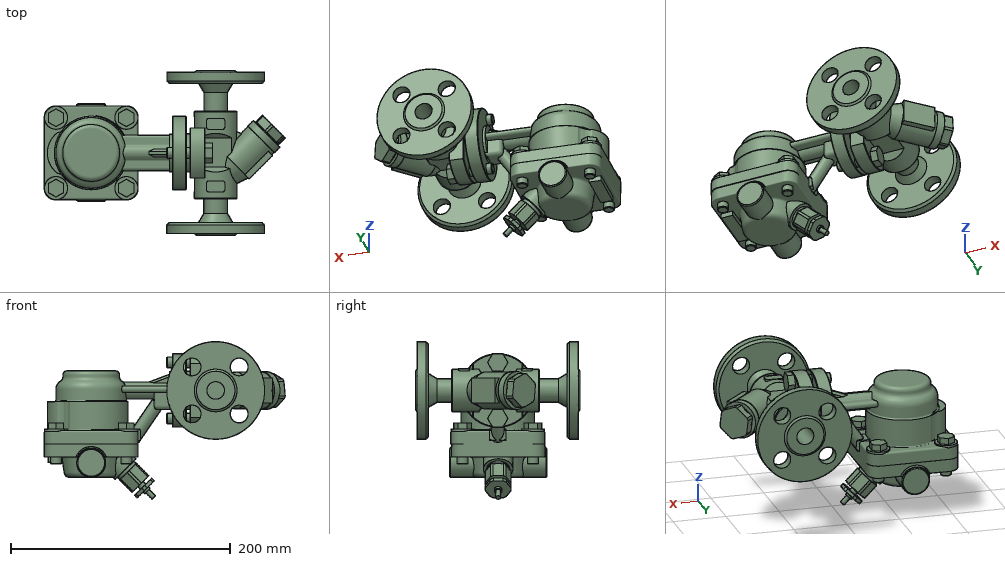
import cadquery as cq
import math

OVERLAP = 1.0

FACE_TO_FACE = 150.0
FLANGE_R = 44.5
FLANGE_THICK = 10.3
FLANGE_CHAMFER = 2.3
RAISED_FACE_BASE_R = 19.4
RAISED_FACE_R = 17.5
RAISED_FACE_HEIGHT = 1.6
FLANGE_BOLT_CIRCLE_R = 30.2
FLANGE_BOLT_HOLE_R = 8.0
PIPE_R = 21.7 / 2
PIPE_BORE_R = 8.0
NECK_R = 15.6
NECK_LENGTH = 8.0

BODY_R = 19.5
BODY_MIN_Y = -42.0
BODY_MAX_Y = 38.0
BODY_CHAMFER = 0.8
WAIST_MIN_Y = -17.3
WAIST_MAX_Y = 17.7
WAIST_WALL_RUN = 4.3
WAIST_HALF_HEIGHT = 13.0
PAD_LENGTH = 16.6
PAD_WIDTH = 10.0
PAD_CORNER_R = 2.0
PAD_TOP_Z = BODY_R + 0.3
PAD_CENTRES_Y = (-30.5, 26.4)

BRANCH_BASE = (14.5, -14.5)
BRANCH_ROOT = -6.0
BRANCH_ROOT_R = 13.0
BRANCH_FULL = 5.0
BRANCH_R = 16.8
COLLAR_START = 38.0
COLLAR_R = 17.2
COLLAR_END = 45.0
CAP_START = 46.0
CAP_END = 54.35
CAP_SPIGOT_R = 13.0
CAP_ACROSS_FLATS = 28.0
CAP_TURNED_R = 15.5
CAP_TURN = 7.0
SIDE_PAD_START = 4.7
SIDE_PAD_END = 35.0
SIDE_PAD_OFFSET = 17.8
SIDE_PAD_HALF_HEIGHT = 11.5
BRANCH_RIB_THICK = 10.0
BRANCH_RIB_CREST = ((18.5, 19.5), (23.0, 18.0))
BRANCH_RIB_END = (30.0, 5.0)

RING_R = 33.5
RING_MIN_X = -39.4
RING_MAX_X = -26.7
RING_CHAMFER = 0.6
GASKET_R = 17.5
OVAL_MIN_X = -23.3
OVAL_MAX_X = -9.5
OVAL_HALF_WIDTH = 22.8
CONNECTION_BOLT_Z = 25.5
CONNECTION_BOLT_R = 5.0
CONNECTION_BOLT_MIN_X = -44.7
CONNECTION_HEAD_MAX_X = -3.0
CONNECTION_HEAD_FLATS = 16.0
BOLT_END_CHAMFER = 0.7

ARM_TUBE_R = 7.8
ARM_BAR_HALF_WIDTH = 16.3
ARM_BAR_MIN_Z = -2.0
ARM_BAR_MAX_Z = 3.9
ARM_BAR_EDGE_R = 2.8
ARM_CORNER_R = 1.5
ARM_BOSS_R = 17.2
ARM_BOSS_MIN_X = -42.0
OUTLET_BLOCK_MIN_X = -56.0
OUTLET_BLOCK_MIN_Z = -17.5
OUTLET_BLOCK_HALF_WIDTH = 10.0
OUTLET_BLOCK_EDGE_R = 3.6
RIB_START_X = -60.6
RIB_TOP_Z = 14.8
RIB_WIDTH = 7.0
RIB_CHAMFER = 2.2
RETURN_TUBE_R = 6.0
RETURN_TUBE_LOW = (-74.7, -43.8)
RETURN_TUBE_HIGH = (-52.7, -11.6)
FOOT_MAX_X = -68.3
FOOT_HALF_WIDTH = 7.5
FOOT_DEPTH = 10.5
FOOT_EDGE_R = 1.5

TRAP_X = -113.2
PLATE_SIZE = 85.5
LOWER_PLATE_WIDTH = 84.8
PLATE_CORNER_R = 10.5
PLATE_TOP_Z = -36.4
PLATE_JOINT_Z = -48.6
PLATE_BOTTOM_Z = -60.6
PLATE_EDGE_R = 2.0
PLATE_LOWER_EDGE_R = 0.8
BOLT_SPACING = 64.0
BOLT_PAD_TOP_Z = -35.2
BOLT_HEAD_TOP_Z = -29.4
BOLT_HEAD_FLATS = 14.0
BOLT_R = 5.0
BOLT_BOTTOM_Z = -67.0
SHELL_R = 33.5
SHELL_TOP_Z = -10.2
LOBE_OFFSET = -16.7
LOBE_R = 23.2
BOLT_CLEARANCE_R = 13.4
SHELL_CORNER_R = 1.5
SHELL_FOOT_R = 0.7
DOME_R = 32.2
DOME_FLARE = SHELL_R - DOME_R
DOME_SHOULDER_Z = 1.0
DOME_NECK_R = 27.5
DOME_NECK_Z = 8.8
DOME_HOLLOW_R = 5.0
CROWN_R = 25.9
CROWN_BASE_Z = 12.8
CROWN_TOP_Z = 17.95
CROWN_EDGE_R = 4.0

COVER_Y = 0.4
COVER_FOOT_R = 1.9
COVER_TOP_R = 26.5
COVER_BOTTOM_R = 24.0
COVER_BOTTOM_Z = -79.1
COVER_EDGE_R = 5.0
END_PIPE_R = 13.2
END_PIPE_Z = -65.8
END_PIPE_LENGTH = 89.0
END_PIPE_CHAMFER = 1.0
END_PIPE_ROOT_R = 14.8
END_PIPE_ROOT_LENGTH = 1.2
NAME_PAD_MIN_X = -152.4
NAME_PAD_MAX_X = -141.0
NAME_PAD_HALF_WIDTH = 19.8
NAME_PAD_BOTTOM_Z = -65.5
DRAIN_HEX_BASE = (-79.7, COVER_Y, -73.8)
DRAIN_DIRECTION = (1, 0, -1)
DRAIN_COLLAR_R = 13.4
DRAIN_COLLAR_START = -16.0
DRAIN_COLLAR_END = -3.2
DRAIN_THROAT_R = 10.5
DRAIN_HEX_FLATS = 21.6
DRAIN_HEX_LENGTH = 16.0
DRAIN_TURNED_R = 11.8
WHEEL_START = 19.4
WHEEL_THICK = 3.4
WHEEL_FLATS = 22.0
STEM_R = 3.5
STEM_STEP = 25.0
SPINDLE_R = 2.3
SPINDLE_END = 33.3


def rod(start, direction, radius, length):
    return cq.Workplane(
        obj=cq.Solid.makeCylinder(radius, length, cq.Vector(*start), cq.Vector(*direction))
    )


def box(x_range, y_range, z_range):
    sizes = [high - low for low, high in (x_range, y_range, z_range)]
    corner = (x_range[0], y_range[0], z_range[0])
    return cq.Workplane("XY").box(*sizes, centered=False).translate(corner)


def across(start, direction, side, distance):
    """Workplane normal to `direction`, `distance` beyond `start`, its local X along `side`."""
    axis = cq.Vector(*direction).normalized()
    origin = cq.Vector(*start) + axis * distance
    return cq.Workplane(cq.Plane(origin=origin, xDir=cq.Vector(*side), normal=axis))


def hexagon(plane, across_flats, length):
    """Hexagonal prism with two corners on the local X axis of the plane."""
    return plane.polygon(6, across_flats / math.cos(math.pi / 6)).extrude(length)


def pipe_flange(side):
    """Flange, weld neck and pipe stub on the +Y (side = 1) or -Y (side = -1) end."""
    face_y = FACE_TO_FACE / 2
    front_y = face_y - RAISED_FACE_HEIGHT
    back_y = front_y - FLANGE_THICK
    flange = (
        cq.Workplane("XY")
        .moveTo(0, 0)
        .lineTo(PIPE_R, 0)
        .lineTo(PIPE_R, back_y - NECK_LENGTH)
        .lineTo(NECK_R, back_y)
        .lineTo(FLANGE_R - FLANGE_CHAMFER, back_y)
        .lineTo(FLANGE_R, back_y + FLANGE_CHAMFER)
        .lineTo(FLANGE_R, front_y)
        .lineTo(RAISED_FACE_BASE_R, front_y)
        .lineTo(RAISED_FACE_R, face_y)
        .lineTo(0, face_y)
        .close()
        .revolve(360, (0, 0, 0), (0, 1, 0))
    )
    for corner in range(4):
        angle = math.radians(45 + 90 * corner)
        x = FLANGE_BOLT_CIRCLE_R * math.cos(angle)
        z = FLANGE_BOLT_CIRCLE_R * math.sin(angle)
        flange = flange.cut(rod((x, 0, z), (0, 1, 0), FLANGE_BOLT_HOLE_R, FACE_TO_FACE))
    if side < 0:
        flange = flange.rotate((0, 0, 0), (0, 0, 1), 180)
    return flange


def valve_body():
    body = rod((0, BODY_MIN_Y, 0), (0, 1, 0), BODY_R, BODY_MAX_Y - BODY_MIN_Y)
    body = body.faces("<Y or >Y").chamfer(BODY_CHAMFER)
    for side in (-1, 1):
        recess = (
            cq.Workplane("YZ")
            .workplane(offset=-BODY_R)
            .moveTo(WAIST_MIN_Y, side * BODY_R)
            .lineTo(WAIST_MIN_Y + WAIST_WALL_RUN, side * WAIST_HALF_HEIGHT)
            .lineTo(WAIST_MAX_Y - WAIST_WALL_RUN, side * WAIST_HALF_HEIGHT)
            .lineTo(WAIST_MAX_Y, side * BODY_R)
            .close()
            .extrude(2 * BODY_R)
        )
        body = body.cut(recess)
    for y in PAD_CENTRES_Y:
        pad = (
            cq.Workplane("XY")
            .center(0, y)
            .rect(PAD_LENGTH, PAD_WIDTH)
            .extrude(PAD_TOP_Z)
            .edges("|Z")
            .fillet(PAD_CORNER_R)
        )
        body = body.union(pad)
    return body


def strainer_branch():
    """Tapered branch with collar, hexagonal cap and a flat pad on its +X-Y side."""
    branch = (
        cq.Workplane("XZ")
        .moveTo(0, BRANCH_ROOT)
        .lineTo(BRANCH_ROOT_R, BRANCH_ROOT)
        .lineTo(BRANCH_R, BRANCH_FULL)
        .lineTo(BRANCH_R, COLLAR_START)
        .lineTo(COLLAR_R, COLLAR_START)
        .lineTo(COLLAR_R, COLLAR_END)
        .lineTo(CAP_SPIGOT_R, COLLAR_END)
        .lineTo(CAP_SPIGOT_R, CAP_END - OVERLAP)
        .lineTo(0, CAP_END - OVERLAP)
        .close()
        .revolve(360, (0, 0, 0), (0, 1, 0))
    )
    cap_length = CAP_END - CAP_START
    cap = hexagon(cq.Workplane("XY").workplane(offset=CAP_START), CAP_ACROSS_FLATS, cap_length)
    cap = cap.rotate((0, 0, 0), (0, 0, 1), 90 - CAP_TURN)
    cap = cap.intersect(rod((0, 0, CAP_START), (0, 0, 1), CAP_TURNED_R, cap_length))
    side_pad = box(
        (0, SIDE_PAD_OFFSET),
        (-SIDE_PAD_HALF_HEIGHT, SIDE_PAD_HALF_HEIGHT),
        (SIDE_PAD_START, SIDE_PAD_END),
    )
    branch = branch.union(cap).union(side_pad)
    branch = branch.rotate((0, 0, 0), (1, 0, 0), -90).rotate((0, 0, 0), (0, 0, 1), -45)
    return branch.translate((*BRANCH_BASE, 0))


def branch_rib():
    """Web in the corner between the valve body and the strainer branch."""
    half = BRANCH_RIB_THICK / 2
    return (
        cq.Workplane("XY")
        .workplane(offset=-half)
        .polyline([(0, 0), *BRANCH_RIB_CREST, BRANCH_RIB_END])
        .close()
        .extrude(BRANCH_RIB_THICK)
    )


def connection():
    """Round ring of the trap arm, gasket disc, oval flange of the body and their two bolts."""
    x_dir = (1, 0, 0)
    ring = rod((RING_MIN_X, 0, 0), x_dir, RING_R, RING_MAX_X - RING_MIN_X)
    ring = ring.faces("<X or >X").chamfer(RING_CHAMFER)
    boss_length = RING_MIN_X - ARM_BOSS_MIN_X + OVERLAP
    gasket_start = RING_MAX_X - OVERLAP
    gasket_length = OVAL_MIN_X - gasket_start + OVERLAP
    oval = (
        rod((OVAL_MIN_X, 0, 0), x_dir, RING_R, OVAL_MAX_X - OVAL_MIN_X)
        .intersect(
            box(
                (OVAL_MIN_X, OVAL_MAX_X),
                (-OVAL_HALF_WIDTH, OVAL_HALF_WIDTH),
                (-RING_R, RING_R),
            )
        )
        .faces("<X or >X")
        .chamfer(RING_CHAMFER)
    )
    joint = (
        ring.union(rod((ARM_BOSS_MIN_X, 0, 0), x_dir, ARM_BOSS_R, boss_length))
        .union(rod((gasket_start, 0, 0), x_dir, GASKET_R, gasket_length))
        .union(oval)
    )
    for z in (-CONNECTION_BOLT_Z, CONNECTION_BOLT_Z):
        shank = rod(
            (CONNECTION_BOLT_MIN_X, 0, z),
            x_dir,
            CONNECTION_BOLT_R,
            CONNECTION_HEAD_MAX_X - CONNECTION_BOLT_MIN_X,
        )
        shank = shank.faces("<X").chamfer(BOLT_END_CHAMFER)
        head_plane = across((OVAL_MAX_X, 0, z), x_dir, (0, 1, 0), 0)
        head_length = CONNECTION_HEAD_MAX_X - OVAL_MAX_X
        joint = joint.union(shank).union(hexagon(head_plane, CONNECTION_HEAD_FLATS, head_length))
    return joint


def trap_arm():
    """Tube with side bars from the trap to the ring, outlet block, rib and return tube."""
    length = RING_MIN_X - TRAP_X
    arm = rod((TRAP_X, 0, 0), (1, 0, 0), ARM_TUBE_R, length)
    bar = box(
        (TRAP_X, RING_MIN_X),
        (-ARM_BAR_HALF_WIDTH, ARM_BAR_HALF_WIDTH),
        (ARM_BAR_MIN_Z, ARM_BAR_MAX_Z),
    )
    bar = bar.edges("|X").fillet(ARM_BAR_EDGE_R)
    spine = arm.union(bar)
    tube_corners = cq.selectors.BoxSelector(
        (TRAP_X, -ARM_TUBE_R, ARM_BAR_MAX_Z - OVERLAP),
        (RING_MIN_X, ARM_TUBE_R, ARM_BAR_MAX_Z + OVERLAP),
    )
    spine = spine.edges("|X").edges(tube_corners).fillet(ARM_CORNER_R)
    block = box(
        (OUTLET_BLOCK_MIN_X, RING_MIN_X),
        (-OUTLET_BLOCK_HALF_WIDTH, OUTLET_BLOCK_HALF_WIDTH),
        (OUTLET_BLOCK_MIN_Z, 0),
    )
    block = block.edges("<Z or (|Z and <X)").fillet(OUTLET_BLOCK_EDGE_R)
    rib = (
        cq.Workplane("XZ")
        .workplane(offset=-RIB_WIDTH / 2)
        .moveTo(RIB_START_X, 0)
        .lineTo(RIB_START_X, ARM_TUBE_R)
        .lineTo(ARM_BOSS_MIN_X, RIB_TOP_Z)
        .lineTo(RING_MIN_X, RIB_TOP_Z)
        .lineTo(RING_MIN_X, 0)
        .close()
        .extrude(RIB_WIDTH)
        .faces("|Y")
        .edges(">Z or (not (|X or |Z))")
        .chamfer(RIB_CHAMFER)
    )
    run = RETURN_TUBE_HIGH[0] - RETURN_TUBE_LOW[0]
    rise = RETURN_TUBE_HIGH[1] - RETURN_TUBE_LOW[1]
    start = (RETURN_TUBE_LOW[0], 0, RETURN_TUBE_LOW[1])
    tube = rod(start, (run, 0, rise), RETURN_TUBE_R, math.hypot(run, rise))
    foot = box(
        (RETURN_TUBE_LOW[0] - RETURN_TUBE_R, FOOT_MAX_X),
        (-FOOT_HALF_WIDTH, FOOT_HALF_WIDTH),
        (BOLT_PAD_TOP_Z - FOOT_DEPTH, BOLT_PAD_TOP_Z),
    )
    foot = foot.edges(">X").fillet(FOOT_EDGE_R)
    return spine.union(block).union(rib).union(tube).union(foot)


def trap_plate(width, bottom_z, top_z):
    return (
        cq.Workplane("XY")
        .workplane(offset=bottom_z)
        .center(TRAP_X, 0)
        .rect(PLATE_SIZE, width)
        .extrude(top_z - bottom_z)
        .edges("|Z")
        .fillet(PLATE_CORNER_R)
    )


def bolt_places():
    half = BOLT_SPACING / 2
    return [(TRAP_X + dx, y) for dx in (-half, half) for y in (-half, half)]


def upper_plate_and_shell():
    """Upper plate and, above it, the shell with a lobe on -X, cut back around the two -X bolts."""
    up = (0, 0, 1)
    height = SHELL_TOP_Z - PLATE_JOINT_Z
    shell = rod((TRAP_X, 0, PLATE_JOINT_Z), up, SHELL_R, height)
    lobe = rod((TRAP_X + LOBE_OFFSET, 0, PLATE_JOINT_Z), up, LOBE_R, height)
    shell = shell.union(lobe)
    lobe_bolts = [place for place in bolt_places() if place[0] < TRAP_X]
    for x, y in lobe_bolts:
        shell = shell.cut(rod((x, y, PLATE_JOINT_Z), up, BOLT_CLEARANCE_R, height))
    shell = shell.edges("|Z").fillet(SHELL_CORNER_R)
    plate = trap_plate(PLATE_SIZE, PLATE_JOINT_Z, PLATE_TOP_Z)
    plate = plate.faces(">Z").edges().fillet(PLATE_EDGE_R)
    reach = LOBE_R - LOBE_OFFSET + OVERLAP / 2
    shell_foot = cq.selectors.BoxSelector(
        (TRAP_X - reach, -reach, PLATE_TOP_Z - OVERLAP),
        (TRAP_X + reach, reach, PLATE_TOP_Z + OVERLAP),
        boundingbox=True,
    )
    return plate.union(shell).edges(shell_foot).fillet(SHELL_FOOT_R)


def trap_base():
    """Square two-piece plate with four bolts, each on a raised round pad."""
    lower = trap_plate(LOWER_PLATE_WIDTH, PLATE_BOTTOM_Z, PLATE_JOINT_Z)
    lower = lower.translate((0, COVER_Y, 0))
    base = upper_plate_and_shell().union(lower.faces("<Z").edges().fillet(PLATE_LOWER_EDGE_R))
    up = (0, 0, 1)
    for x, y in bolt_places():
        pad = rod((x, y, PLATE_JOINT_Z), up, PLATE_CORNER_R, BOLT_PAD_TOP_Z - PLATE_JOINT_Z)
        shank = rod((x, y, BOLT_BOTTOM_Z), up, BOLT_R, BOLT_PAD_TOP_Z - BOLT_BOTTOM_Z)
        shank = shank.faces("<Z").chamfer(BOLT_END_CHAMFER)
        head_plane = across((x, y, BOLT_PAD_TOP_Z), up, (0, 1, 0), 0)
        head = hexagon(head_plane, BOLT_HEAD_FLATS, BOLT_HEAD_TOP_Z - BOLT_PAD_TOP_Z)
        base = base.union(pad).union(shank).union(head)
    return base


def trap_dome():
    """Domed top of the trap, flaring out to meet the top of the shell."""
    dome = (
        cq.Workplane("XZ")
        .moveTo(0, PLATE_JOINT_Z)
        .lineTo(DOME_R, PLATE_JOINT_Z)
        .lineTo(DOME_R, SHELL_TOP_Z)
        .lineTo(SHELL_R, SHELL_TOP_Z)
        .radiusArc((DOME_R, SHELL_TOP_Z + DOME_FLARE), DOME_FLARE)
        .lineTo(DOME_R, DOME_SHOULDER_Z)
        .tangentArcPoint((DOME_NECK_R, DOME_NECK_Z), relative=False)
        .radiusArc((CROWN_R, CROWN_BASE_Z), DOME_HOLLOW_R)
        .lineTo(CROWN_R, CROWN_TOP_Z - CROWN_EDGE_R)
        .tangentArcPoint((CROWN_R - CROWN_EDGE_R, CROWN_TOP_Z), relative=False)
        .lineTo(0, CROWN_TOP_Z)
        .close()
        .revolve(360, (0, 0, 0), (0, 1, 0))
    )
    return dome.translate((TRAP_X, 0, 0))


def trap_cover():
    """Bowl under the plate, the horizontal end pipe through it and the name pad."""
    bowl = (
        cq.Workplane("XZ")
        .moveTo(0, PLATE_JOINT_Z)
        .lineTo(COVER_TOP_R + COVER_FOOT_R, PLATE_JOINT_Z)
        .lineTo(COVER_TOP_R + COVER_FOOT_R, PLATE_BOTTOM_Z)
        .radiusArc((COVER_TOP_R, PLATE_BOTTOM_Z - COVER_FOOT_R), -COVER_FOOT_R)
        .lineTo(COVER_BOTTOM_R, COVER_BOTTOM_Z)
        .lineTo(0, COVER_BOTTOM_Z)
        .close()
        .revolve(360, (0, 0, 0), (0, 1, 0))
        .faces("<Z")
        .edges()
        .fillet(COVER_EDGE_R)
        .translate((TRAP_X, 0, 0))
    )
    pipe = rod((TRAP_X, -END_PIPE_LENGTH / 2, END_PIPE_Z), (0, 1, 0), END_PIPE_R, END_PIPE_LENGTH)
    pipe = pipe.faces("<Y or >Y").chamfer(END_PIPE_CHAMFER)
    root_span = LOWER_PLATE_WIDTH + 2 * END_PIPE_ROOT_LENGTH
    root = rod((TRAP_X, -root_span / 2, END_PIPE_Z), (0, 1, 0), END_PIPE_ROOT_R, root_span)
    root = root.faces("<Y or >Y").chamfer(END_PIPE_ROOT_LENGTH)
    root = root.intersect(
        box(
            (TRAP_X - END_PIPE_ROOT_R, TRAP_X + END_PIPE_ROOT_R),
            (-root_span / 2, root_span / 2),
            (PLATE_BOTTOM_Z, PLATE_JOINT_Z),
        )
    )
    name_pad = box(
        (NAME_PAD_MIN_X, NAME_PAD_MAX_X),
        (-NAME_PAD_HALF_WIDTH, NAME_PAD_HALF_WIDTH),
        (NAME_PAD_BOTTOM_Z, PLATE_JOINT_Z),
    )
    return bowl.union(pipe).union(root).union(name_pad).translate((0, COVER_Y, 0))


def blowdown_valve():
    """Collar, hexagonal body, hand wheel and spindle, sloping down at 45 degrees."""

    def station(distance):
        return across(DRAIN_HEX_BASE, DRAIN_DIRECTION, (0, 1, 0), distance)

    def turned(start, end, radius):
        return station(start).circle(radius).extrude(end - start)

    collar = turned(DRAIN_COLLAR_START, DRAIN_COLLAR_END, DRAIN_COLLAR_R)
    throat = turned(DRAIN_COLLAR_START, OVERLAP, DRAIN_THROAT_R)
    hex_body = hexagon(station(0), DRAIN_HEX_FLATS, DRAIN_HEX_LENGTH)
    hex_body = hex_body.intersect(turned(0, DRAIN_HEX_LENGTH, DRAIN_TURNED_R))
    wheel = hexagon(station(WHEEL_START), WHEEL_FLATS, WHEEL_THICK)
    wheel = wheel.intersect(turned(WHEEL_START, WHEEL_START + WHEEL_THICK, DRAIN_TURNED_R))
    stem = turned(0, STEM_STEP, STEM_R)
    spindle = turned(0, SPINDLE_END, SPINDLE_R)
    return collar.union(throat).union(hex_body).union(wheel).union(stem).union(spindle)


def assemble():
    pieces = [
        pipe_flange(1),
        pipe_flange(-1),
        strainer_branch(),
        branch_rib(),
        connection(),
        trap_arm(),
        trap_base(),
        trap_dome(),
        trap_cover(),
        blowdown_valve(),
    ]
    part = valve_body()
    for piece in pieces:
        part = part.union(piece)
    bore_length = (FACE_TO_FACE - (BODY_MAX_Y - BODY_MIN_Y)) / 2
    for side in (-1, 1):
        face = (0, side * FACE_TO_FACE / 2, 0)
        part = part.cut(rod(face, (0, -side, 0), PIPE_BORE_R, bore_length))
    return part


result = assemble()